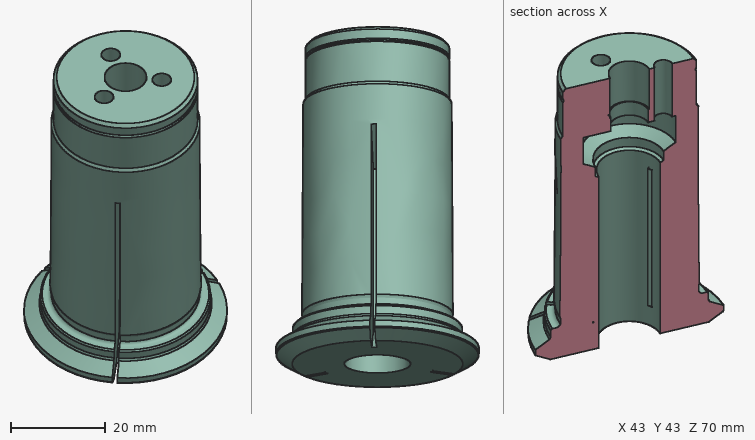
import cadquery as cq
import math

TOTAL_LENGTH = 70.0
BODY_BOTTOM = 10.8
SHOULDER_TOP = 8.05
SHOULDER_BOTTOM = 5.95
RIM_TOP = 3.65
BODY_TOP = 57.8
GROOVE_Z = 67.0

RIM_RADIUS = 43.0 / 2
SHOULDER_RADIUS = 36.0 / 2
BODY_BOTTOM_RADIUS = 32.0 / 2
BODY_TOP_RADIUS = 31.5 / 2
NECK_RADIUS = 31.6 / 2
HEAD_RADIUS = 30.5 / 2

FLANGE_CONE_ANGLE = 30.0
FLANGE_CONE_WIDTH = 3.3
RIM_CHAMFER_WIDTH = 0.15
RIM_UPPER_CHAMFER = 0.15
RIM_LOWER_CHAMFER = 0.3
SHOULDER_CHAMFER = 0.35
SHOULDER_ROOT_WIDTH = 0.3
NECK_ARC_WIDTH = 1.05
NECK_ARC_HEIGHT = 0.7
BODY_BOTTOM_CHAMFER = 0.4
NECK_LEAD_HEIGHT = 0.3
NECK_LEAD_WIDTH = 0.1
BODY_TOP_CHAMFER = 0.7
HEAD_CHAMFER = 0.7
GROOVE_DEPTH = 0.3
GROOVE_LOWER_WIDTH = 0.4
GROOVE_UPPER_WIDTH = 0.3

GRIP_RADIUS = 14.0 / 2
RELIEF_RADIUS = 15.5 / 2
CAVITY_RADIUS = 21.0 / 2
GRIP_TOP = 44.8
RELIEF_TOP = 47.6
CAVITY_TOP = 56.0
BORE_CONE_ANGLE = 30.0
END_BORE_RADIUS = 8.9 / 2
END_BORE_DEPTH = 10.5
PASSAGE_RADIUS = 8.5 / 2

SECTOR_COUNT = 3
STEP_ANGLE = 360.0 / SECTOR_COUNT

END_HOLE_RADIUS = 4.0 / 2
END_HOLE_PITCH_RADIUS = 7.7
END_HOLE_START_ANGLE = 30.0

SLIT_WIDTH = 1.05
SLIT_START_ANGLE = 60.0
SLIT_INNER_TOP = 40.9
SLIT_INNER_BOTTOM = 5.05
SLIT_OVERRUN = 0.7
SLIT_END_ANGLE = 40.0


def revolve(profile):
    """Turn a closed radius-height profile around the Z axis."""
    return profile.close().revolve(360, (0, 0, 0), (0, 1, 0))


def outer_body():
    """Flange, shoulder, neck, slightly tapered body and grooved head."""
    cone_slope = math.tan(math.radians(FLANGE_CONE_ANGLE))
    cone_outer = RIM_RADIUS - RIM_CHAMFER_WIDTH
    lower_cone_height = FLANGE_CONE_WIDTH * cone_slope
    upper_cone_inner = SHOULDER_RADIUS + SHOULDER_ROOT_WIDTH
    upper_cone_top = RIM_TOP + (cone_outer - upper_cone_inner) * cone_slope
    chamfer_bottom = BODY_BOTTOM - BODY_BOTTOM_CHAMFER

    arc_start = NECK_RADIUS + NECK_ARC_WIDTH
    arc_radius = (NECK_ARC_WIDTH**2 + NECK_ARC_HEIGHT**2) / (2 * NECK_ARC_HEIGHT)
    half_sweep = math.atan2(NECK_ARC_HEIGHT, NECK_ARC_WIDTH)
    arc_middle = (
        arc_start - arc_radius * math.sin(half_sweep),
        SHOULDER_TOP + arc_radius * (1 - math.cos(half_sweep)),
    )
    profile = (
        cq.Workplane("XZ")
        .moveTo(0, 0)
        .lineTo(cone_outer - FLANGE_CONE_WIDTH, 0)
        .lineTo(cone_outer, lower_cone_height)
        .lineTo(RIM_RADIUS, lower_cone_height + RIM_LOWER_CHAMFER)
        .lineTo(RIM_RADIUS, RIM_TOP - RIM_UPPER_CHAMFER)
        .lineTo(cone_outer, RIM_TOP)
        .lineTo(upper_cone_inner, upper_cone_top)
        .lineTo(SHOULDER_RADIUS, SHOULDER_BOTTOM)
        .lineTo(SHOULDER_RADIUS, SHOULDER_TOP - SHOULDER_CHAMFER)
        .lineTo(SHOULDER_RADIUS - SHOULDER_CHAMFER, SHOULDER_TOP)
        .lineTo(arc_start, SHOULDER_TOP)
        .threePointArc(arc_middle, (NECK_RADIUS, SHOULDER_TOP + NECK_ARC_HEIGHT))
        .lineTo(NECK_RADIUS, chamfer_bottom - NECK_LEAD_HEIGHT)
        .lineTo(NECK_RADIUS + NECK_LEAD_WIDTH, chamfer_bottom)
        .lineTo(BODY_BOTTOM_RADIUS, BODY_BOTTOM)
        .lineTo(BODY_TOP_RADIUS, BODY_TOP - BODY_TOP_CHAMFER)
        .lineTo(HEAD_RADIUS, BODY_TOP)
        .lineTo(HEAD_RADIUS, GROOVE_Z - GROOVE_LOWER_WIDTH)
        .lineTo(HEAD_RADIUS - GROOVE_DEPTH, GROOVE_Z)
        .lineTo(HEAD_RADIUS, GROOVE_Z + GROOVE_UPPER_WIDTH)
        .lineTo(HEAD_RADIUS, TOTAL_LENGTH - HEAD_CHAMFER)
        .lineTo(HEAD_RADIUS - HEAD_CHAMFER, TOTAL_LENGTH)
        .lineTo(0, TOTAL_LENGTH)
    )
    return revolve(profile)


def stepped_bore():
    """Grip bore opening in two cones to a cavity, then a narrower hole to the head."""
    rise = math.tan(math.radians(BORE_CONE_ANGLE))
    end_bore_bottom = TOTAL_LENGTH - END_BORE_DEPTH
    profile = (
        cq.Workplane("XZ")
        .moveTo(0, 0)
        .lineTo(GRIP_RADIUS, 0)
        .lineTo(GRIP_RADIUS, GRIP_TOP)
        .lineTo(RELIEF_RADIUS, GRIP_TOP + (RELIEF_RADIUS - GRIP_RADIUS) * rise)
        .lineTo(RELIEF_RADIUS, RELIEF_TOP)
        .lineTo(CAVITY_RADIUS, RELIEF_TOP + (CAVITY_RADIUS - RELIEF_RADIUS) * rise)
        .lineTo(CAVITY_RADIUS, CAVITY_TOP)
        .lineTo(PASSAGE_RADIUS, CAVITY_TOP)
        .lineTo(PASSAGE_RADIUS, end_bore_bottom)
        .lineTo(END_BORE_RADIUS, end_bore_bottom)
        .lineTo(END_BORE_RADIUS, TOTAL_LENGTH)
        .lineTo(0, TOTAL_LENGTH)
    )
    return revolve(profile)


def end_holes():
    """Small holes from the head face down into the cavity."""
    depth = TOTAL_LENGTH - CAVITY_TOP
    return (
        cq.Workplane("XY", origin=(0, 0, CAVITY_TOP))
        .polarArray(END_HOLE_PITCH_RADIUS, END_HOLE_START_ANGLE, 360, SECTOR_COUNT)
        .circle(END_HOLE_RADIUS)
        .extrude(depth)
    )


def slit(angle):
    """Thin radial cut whose upper end rises outward and whose floor drops outward."""
    outer = RIM_RADIUS + SLIT_OVERRUN
    inner = GRIP_RADIUS - SLIT_OVERRUN
    end_slope = math.tan(math.radians(SLIT_END_ANGLE))
    floor_exit = GRIP_RADIUS + SLIT_INNER_BOTTOM / end_slope
    overrun_rise = SLIT_OVERRUN * end_slope
    return (
        cq.Workplane("XZ")
        .moveTo(inner, SLIT_INNER_BOTTOM + overrun_rise)
        .lineTo(floor_exit, 0)
        .lineTo(outer, 0)
        .lineTo(outer, SLIT_INNER_TOP + (outer - GRIP_RADIUS) * end_slope)
        .lineTo(inner, SLIT_INNER_TOP - overrun_rise)
        .close()
        .extrude(SLIT_WIDTH / 2, both=True)
        .rotate((0, 0, 0), (0, 0, 1), angle)
    )


result = outer_body().cut(stepped_bore()).cut(end_holes())
for index in range(SECTOR_COUNT):
    result = result.cut(slit(SLIT_START_ANGLE + index * STEP_ANGLE))